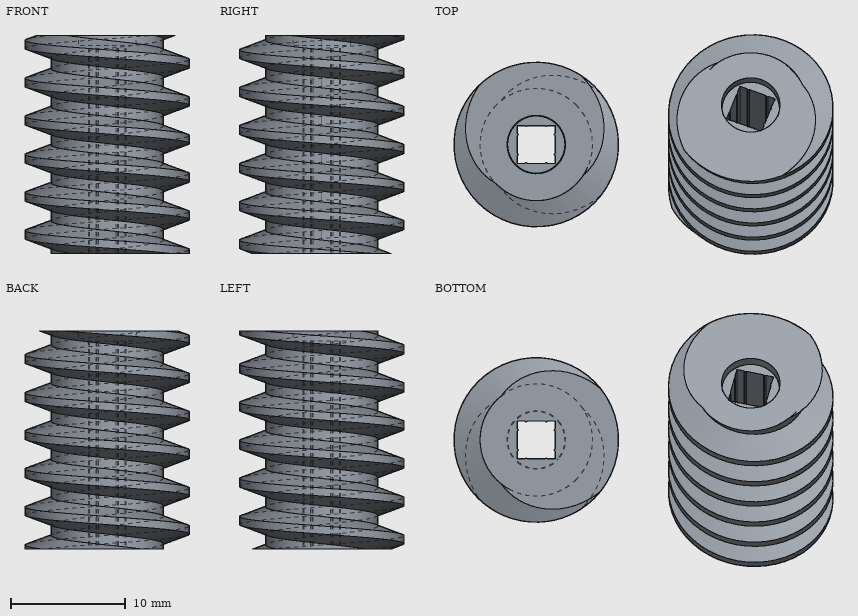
import cadquery as cq
import math

length = 19.05
outer_diameter = 14.38
outer_radius = outer_diameter / 2
thread_depth = 2.29
root_radius = outer_radius - thread_depth

pressure_angle = 20.0
crest_width = 0.7
root_gap = 0.95
flank_slope = math.tan(math.radians(pressure_angle))
pitch = crest_width + root_gap + 2 * thread_depth * flank_slope
root_overlap = 0.2

square_side = 3.28
counterbore_top_diameter = 5.1
counterbore_floor_diameter = 5.0
counterbore_depth = 0.9

rib_width = 0.23
rib_height = 0.08
rib_offset = 0.88


def make_thread():
    """Tooth swept along a helix one pitch longer than the body at each end."""
    inner_radius = root_radius - root_overlap
    crest_half = crest_width / 2
    base_half = crest_half + (outer_radius - inner_radius) * flank_slope
    helix = cq.Wire.makeHelix(pitch, length + 2 * pitch, inner_radius, lefthand=True)
    profile = cq.Workplane("XZ").polyline([
        (inner_radius, -base_half),
        (outer_radius, -crest_half),
        (outer_radius, crest_half),
        (inner_radius, base_half),
    ]).close()
    return profile.sweep(cq.Workplane(obj=helix), isFrenet=True).translate((0, 0, -pitch))


def make_drive_hole():
    """Through square hole, less its grip ribs, plus the counterbore."""
    hole = cq.Workplane("XY").rect(square_side, square_side).extrude(length)
    wall = square_side / 2
    half_width = rib_width / 2
    for wall_angle in range(0, 360, 90):
        for offset in (-rib_offset, rib_offset):
            rib = (
                cq.Workplane("XY")
                .polyline([
                    (wall, offset - half_width),
                    (wall - rib_height, offset),
                    (wall, offset + half_width),
                ])
                .close()
                .extrude(length)
                .rotate((0, 0, 0), (0, 0, 1), wall_angle)
            )
            hole = hole.cut(rib)
    counterbore = (
        cq.Workplane("XY")
        .workplane(offset=length - counterbore_depth)
        .circle(counterbore_floor_diameter / 2)
        .workplane(offset=counterbore_depth)
        .circle(counterbore_top_diameter / 2)
        .loft(ruled=True)
    )
    return hole.union(counterbore)


core = cq.Workplane("XY").circle(root_radius).extrude(length)
block_side = 2 * outer_diameter
block = cq.Workplane("XY").rect(block_side, block_side).extrude(length)
thread = make_thread().intersect(block)

result = core.union(thread).cut(make_drive_hole())